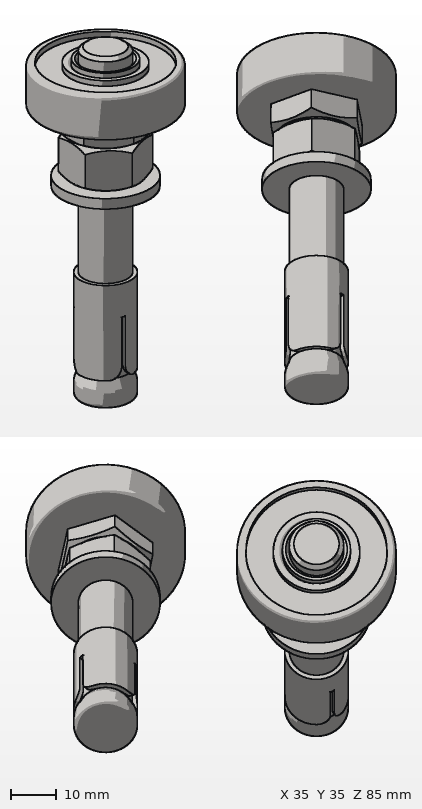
import cadquery as cq
import math

total_height = 85.0
shank_radius = 12.0 / 2
tip_chamfer_height = 0.85
tip_chamfer_width = 1.0
head_radius = 14.0 / 2
head_fillet = 1.1
head_shoulder_z = 3.9
cone_bottom_z = 4.5
cone_bottom_radius = 6.9

sleeve_bottom_z = 7.0
sleeve_top_z = 30.2
slot_top_z = 22.0
slot_width = 1.0
slot_flare_radius = 3.0
slot_angles = (90, 210, 330)

washer_radius = 24.0 / 2
washer_bottom_z = 51.2
washer_top_z = 53.7
nut_joint_z = 64.4
lower_nut_flats = 18.0
upper_nut_flats = 19.0
lower_nut_face_radius = 8.2
upper_nut_face_radius = 8.9
nut_chamfer_angle = 30

bearing_radius = 35.0 / 2
bearing_bottom_z = 70.3
bearing_top_z = 81.3
bearing_fillet = 1.0
recess_radius = 31.0 / 2
recess_depth = 1.4
inner_ring_radius = 19.0 / 2
bore_radius = 15.0 / 2
bore_fillet = 1.0

collar_top_z = 82.1
countersink_radius = 13.5 / 2


def cylinder(radius, bottom_z, top_z):
    return cq.Workplane("XY").workplane(offset=bottom_z).circle(radius).extrude(top_z - bottom_z)


def make_bolt():
    cone_top_z = sleeve_bottom_z
    tip_radius = shank_radius - tip_chamfer_width
    profile = (
        cq.Workplane("XZ")
        .lineTo(head_radius - head_fillet, 0)
        .radiusArc((head_radius, head_fillet), -head_fillet)
        .lineTo(head_radius, head_shoulder_z)
        .lineTo(cone_bottom_radius, cone_bottom_z)
        .lineTo(shank_radius, cone_top_z)
        .lineTo(shank_radius, total_height - tip_chamfer_height)
        .lineTo(tip_radius, total_height)
        .lineTo(0, total_height)
        .close()
    )
    return profile.revolve(360, (0, 0, 0), (0, 1, 0))


def make_slot_cutter():
    """Slot along +X whose lower end flares outwards with two arcs."""
    half_width = slot_width / 2
    flare_half_width = half_width + slot_flare_radius
    flare_top_z = sleeve_bottom_z + slot_flare_radius
    return (
        cq.Workplane("YZ")
        .moveTo(-half_width, slot_top_z)
        .lineTo(half_width, slot_top_z)
        .lineTo(half_width, flare_top_z)
        .radiusArc((flare_half_width, sleeve_bottom_z), -slot_flare_radius)
        .lineTo(-flare_half_width, sleeve_bottom_z)
        .radiusArc((-half_width, flare_top_z), -slot_flare_radius)
        .close()
        .extrude(2 * head_radius)
    )


def make_sleeve():
    sleeve = cylinder(head_radius, sleeve_bottom_z, sleeve_top_z)
    cutter = make_slot_cutter()
    for angle in slot_angles:
        sleeve = sleeve.cut(cutter.rotate((0, 0, 0), (0, 0, 1), angle))
    return sleeve


def make_nut(flats, face_radius, bottom_z, top_z, chamfer_top):
    """Hexagonal nut with corners on the Y axis and conical end chamfers."""
    corner_radius = flats / 2 / math.cos(math.radians(30))
    chamfer_height = (corner_radius - face_radius) * math.tan(math.radians(nut_chamfer_angle))
    hexagon = (
        cq.Workplane("XY")
        .workplane(offset=bottom_z)
        .polygon(6, 2 * corner_radius)
        .extrude(top_z - bottom_z)
        .rotate((0, 0, 0), (0, 0, 1), 30)
    )
    envelope = (
        cq.Workplane("XZ")
        .moveTo(0, bottom_z)
        .lineTo(face_radius, bottom_z)
        .lineTo(corner_radius, bottom_z + chamfer_height)
    )
    if chamfer_top:
        envelope = envelope.lineTo(corner_radius, top_z - chamfer_height).lineTo(face_radius, top_z)
    else:
        envelope = envelope.lineTo(corner_radius, top_z)
    envelope = envelope.lineTo(0, top_z).close().revolve(360, (0, 0, 0), (0, 1, 0))
    return hexagon.intersect(envelope)


def make_bearing():
    bearing = cylinder(bearing_radius, bearing_bottom_z, bearing_top_z)
    bearing = bearing.faces("<Z or >Z").edges().fillet(bearing_fillet)
    recess_floor_z = bearing_top_z - recess_depth
    recess = cylinder(recess_radius, recess_floor_z, bearing_top_z)
    recess = recess.cut(cylinder(inner_ring_radius, recess_floor_z, bearing_top_z))
    bore = cylinder(bore_radius, bearing_bottom_z, bearing_top_z)
    bearing = bearing.cut(recess).cut(bore)
    bore_rim = cq.selectors.RadiusNthSelector(0)
    return bearing.faces(">Z").edges(bore_rim).fillet(bore_fillet)


def make_collar():
    countersink_depth = countersink_radius - shank_radius
    collar = cylinder(bore_radius, bearing_bottom_z, collar_top_z)
    collar = collar.cut(cylinder(shank_radius, bearing_bottom_z, collar_top_z))
    inner_rim = cq.selectors.RadiusNthSelector(0)
    return collar.faces(">Z").edges(inner_rim).chamfer(countersink_depth)


lower_nut = make_nut(lower_nut_flats, lower_nut_face_radius, washer_top_z, nut_joint_z, True)
upper_nut = make_nut(upper_nut_flats, upper_nut_face_radius, nut_joint_z, bearing_bottom_z, False)

result = (
    make_bolt()
    .union(make_sleeve())
    .union(cylinder(washer_radius, washer_bottom_z, washer_top_z))
    .union(lower_nut)
    .union(upper_nut)
    .union(make_bearing())
    .union(make_collar())
)